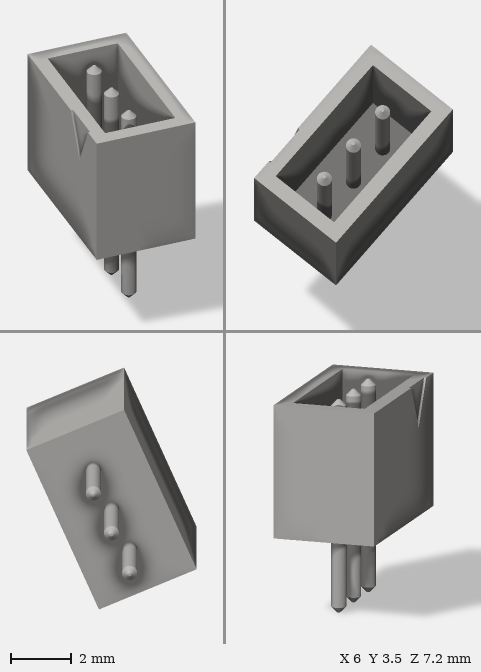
import cadquery as cq

housing_length = 6.0
housing_width = 3.5
housing_height = 4.5
total_height = 7.2
wall = 0.505

pin_count = 3
pin_pitch = 1.5
pin_diameter = 0.5
tip_diameter = 0.1
tip_height = 0.2
pin_top = housing_height
pin_bottom = housing_height - total_height

marker_size = pin_pitch
marker_depth = 0.07
marker_x = pin_pitch


def make_housing():
    """Open-topped box standing on Z = 0, with holes for the pins and a marker in its front wall."""
    box = cq.Workplane("XY").box(
        housing_length, housing_width, housing_height, centered=(True, True, False)
    )
    cavity = (
        cq.Workplane("XY", origin=(0, 0, wall))
        .rect(housing_length - 2 * wall, housing_width - 2 * wall)
        .extrude(housing_height - wall)
    )
    pin_holes = (
        cq.Workplane("XY")
        .rarray(pin_pitch, 0.07, pin_count, 1)
        .circle(pin_diameter / 2)
        .extrude(wall)
    )
    marker = (
        cq.Workplane("XZ", origin=(marker_x, -housing_width / 2, housing_height))
        .moveTo(-marker_size / 2, 0)
        .lineTo(marker_size / 2, 0)
        .lineTo(0, -marker_size)
        .close()
        .extrude(-marker_depth)
    )
    return box.cut(cavity).cut(pin_holes).cut(marker)


def make_pin(x):
    """Round pin with a blunt cone at each end, revolved about its own axis."""
    profile = (
        cq.Workplane("XZ", origin=(x, 0, 0))
        .moveTo(0, pin_bottom)
        .lineTo(tip_diameter / 2, pin_bottom)
        .lineTo(pin_diameter / 2, pin_bottom + tip_height)
        .lineTo(pin_diameter / 2, pin_top - tip_height)
        .lineTo(tip_diameter / 2, pin_top)
        .lineTo(0, pin_top)
        .close()
    )
    return profile.revolve(360, (0, 0, 0), (0, 1, 0))


housing = make_housing()
first_pin_x = -(pin_count - 1) / 2 * pin_pitch
pins = [make_pin(first_pin_x + i * pin_pitch) for i in range(pin_count)]

result = cq.Compound.makeCompound([housing.val(), *[pin.val() for pin in pins]])